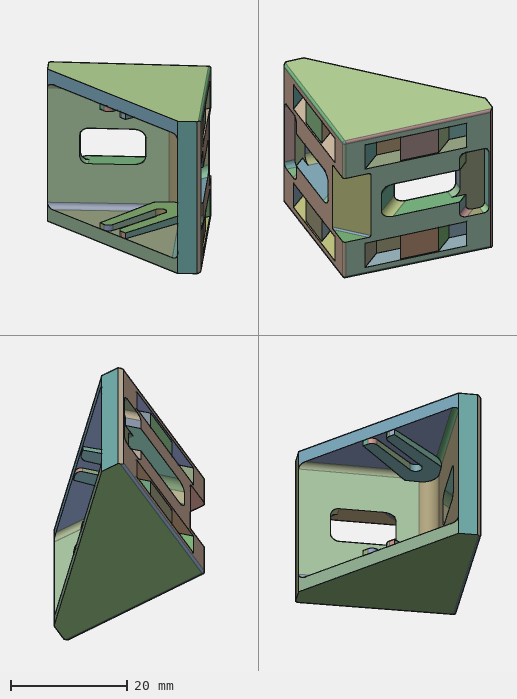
import cadquery as cq
import math


ROOT2 = math.sqrt(2)

LEG_LENGTH = 28.0
LEG_THICKNESS = 4.0
WIDTH = 28.0
END_CHAMFER = 0.7
OUTER_FILLET = 0.45

WALL_THICKNESS = 2.5
WALL_DRAFT = math.tan(math.radians(0.45))
CORNER_FILLET = 3.0
ROOT_FILLET = 1.0

RIB_HEIGHT = 1.05
RIB_FRONT_Y = 0.05
RIB_HALF_WIDTH = 3.3
RIB_DRAFT = math.tan(math.radians(2.0))
RIB_GAP = 2.3
RIB_GAP_DEPTH = 12.0
RIB_TIP_FILLET = 1.1

SLOT_START_X = 5.0
SLOT_END = 22.45
SLOT_HEIGHT = 6.5
SLOT_FILLET = 1.5

RECESS_START_X = 15.25
RECESS_END = 27.0
RECESS_DEPTH = 1.95
RECESS_HEIGHT = 13.0
RECESS_FILLET = 0.95
RELIEF_START = 20.0
RELIEF_END = 26.0

POCKET_SPANS_X = ((2.82, 7.34), (12.37, 16.15))
POCKET_DEPTH = 3.55
POCKET_HEIGHT = 4.9
POCKET_CENTER_Z = 9.95
BRIDGE_DEPTH = 0.3

NOTCH_FLOOR_Y = 19.05
NOTCH_HEIGHT = 12.9
NOTCH_FILLET = 0.3

APEX_Y = (LEG_LENGTH + LEG_THICKNESS) / ROOT2
INNER_APEX_Y = APEX_Y - LEG_THICKNESS * ROOT2
OPEN_HALF_WIDTH = (LEG_LENGTH - LEG_THICKNESS) / ROOT2
OVERCUT = 2.0


def leg_point(along, depth):
    """XY point on the +X leg, measured from the apex and inward from its outer face."""
    return ((along - depth) / ROOT2, APEX_Y - (along + depth) / ROOT2)


def outer_point(x, depth):
    """XY point on the +X leg at a given X, at a depth below its outer face."""
    return (x, APEX_Y - x - depth * ROOT2)


def prism(points, height):
    """Straight prism over an XY outline, centred on Z = 0."""
    return cq.Workplane("XY").polyline(points).close().extrude(height / 2, both=True)


def drafted_slab(half_height, y_from, y_to, draft):
    """Slab wide in X whose half height, given at Y = 0, shrinks towards +Y."""
    start = half_height - draft * y_from
    end = half_height - draft * y_to
    outline = [(y_from, -start), (y_to, -end), (y_to, end), (y_from, start)]
    return cq.Workplane("YZ").polyline(outline).close().extrude(LEG_LENGTH, both=True)


def on_both_legs(shape):
    return shape.union(shape.mirror("YZ"))


def make_body():
    outline = [
        (-OPEN_HALF_WIDTH, 0),
        (OPEN_HALF_WIDTH, 0),
        leg_point(LEG_LENGTH, 0),
        (0, APEX_Y),
        (-leg_point(LEG_LENGTH, 0)[0], leg_point(LEG_LENGTH, 0)[1]),
    ]
    body = prism(outline, WIDTH)
    body = body.intersect(drafted_slab(WIDTH / 2, 0, APEX_Y, WALL_DRAFT))
    body = body.edges("|Z and (<X or >X)").chamfer(END_CHAMFER)
    outer_rims = body.faces(">(1,1,0) or >(-1,1,0)").edges("not |Z")
    return body.edges("|Z and >Y").add(outer_rims).fillet(OUTER_FILLET)


def make_cavity():
    half_base = INNER_APEX_Y + OVERCUT
    outline = [(-half_base, -OVERCUT), (half_base, -OVERCUT), (0, INNER_APEX_Y)]
    cavity = prism(outline, WIDTH)
    half_gap = WIDTH / 2 - WALL_THICKNESS
    cavity = cavity.intersect(drafted_slab(half_gap, -OVERCUT, APEX_Y, WALL_DRAFT))
    cavity = cavity.edges("|Z and >Y").fillet(CORNER_FILLET)
    return cavity.edges("not (|Z or <Y)").fillet(ROOT_FILLET)


def make_ribs():
    back_half_width = RIB_HALF_WIDTH + RIB_DRAFT * INNER_APEX_Y
    outline = [
        (-RIB_HALF_WIDTH, RIB_FRONT_Y),
        (RIB_HALF_WIDTH, RIB_FRONT_Y),
        (back_half_width, INNER_APEX_Y - back_half_width),
        (0, INNER_APEX_Y),
        (-back_half_width, INNER_APEX_Y - back_half_width),
    ]
    half_gap = WIDTH / 2 - WALL_THICKNESS
    ribs = prism(outline, 2 * half_gap + WALL_THICKNESS)
    gap = (
        cq.Workplane("XY")
        .center(0, RIB_GAP_DEPTH / 2)
        .slot2D(RIB_GAP_DEPTH, RIB_GAP, 90)
        .extrude(WIDTH / 2, both=True)
    )
    mouth = cq.Workplane("XY").rect(RIB_GAP, RIB_GAP_DEPTH).extrude(WIDTH / 2, both=True)
    ribs = ribs.cut(gap).cut(mouth)
    inner_tips = cq.selectors.BoxSelector(
        (-RIB_GAP, -RIB_GAP, -WIDTH), (RIB_GAP, RIB_GAP, WIDTH)
    )
    ribs = ribs.edges("|Z").edges(inner_tips).fillet(RIB_TIP_FILLET)
    return ribs.cut(drafted_slab(half_gap - RIB_HEIGHT, -OVERCUT, APEX_Y, RIB_DRAFT))


def make_slot():
    outline = [
        outer_point(SLOT_START_X, -OVERCUT),
        outer_point(SLOT_START_X, LEG_THICKNESS + OVERCUT),
        leg_point(SLOT_END, LEG_THICKNESS + OVERCUT),
        leg_point(SLOT_END, -OVERCUT),
    ]
    slot = prism(outline, SLOT_HEIGHT)
    return slot.edges("|Y or |(1,1,0)").fillet(SLOT_FILLET)


def make_relief():
    """Opens the slot into the recess, down to the recess floor."""
    outline = [
        leg_point(RELIEF_START, -OVERCUT),
        leg_point(RELIEF_START, RECESS_DEPTH),
        leg_point(RELIEF_END, RECESS_DEPTH),
        leg_point(RELIEF_END, -OVERCUT),
    ]
    return prism(outline, SLOT_HEIGHT)


def make_recess():
    outline = [
        outer_point(RECESS_START_X, -OVERCUT),
        outer_point(RECESS_START_X, RECESS_DEPTH),
        leg_point(RECESS_END, RECESS_DEPTH),
        leg_point(RECESS_END, -OVERCUT),
    ]
    recess = prism(outline, RECESS_HEIGHT)
    return recess.edges("|Y or |(1,1,0)").fillet(RECESS_FILLET)


def make_pocket(start_x, end_x, depth):
    outline = [
        outer_point(start_x, -OVERCUT),
        outer_point(start_x, depth),
        outer_point(end_x, depth),
        outer_point(end_x, -OVERCUT),
    ]
    return prism(outline, POCKET_HEIGHT)


def make_pocket_pair():
    """Two pockets joined by a shallow cut over the bridge between them."""
    pair = make_pocket(POCKET_SPANS_X[0][0], POCKET_SPANS_X[1][1], BRIDGE_DEPTH)
    for start_x, end_x in POCKET_SPANS_X:
        pair = pair.union(make_pocket(start_x, end_x, POCKET_DEPTH))
    return pair


def make_notch():
    notch = cq.Workplane("XY").box(LEG_LENGTH, LEG_LENGTH, NOTCH_HEIGHT)
    notch = notch.edges("|X and <Y").fillet(NOTCH_FILLET)
    return notch.translate((0, NOTCH_FLOOR_Y + LEG_LENGTH / 2, 0))


result = make_body().cut(make_cavity()).union(make_ribs())
for leg_cut in (make_slot(), make_recess(), make_relief()):
    result = result.cut(on_both_legs(leg_cut))
for side in (-1, 1):
    pockets = make_pocket_pair().translate((0, 0, side * POCKET_CENTER_Z))
    result = result.cut(on_both_legs(pockets))
result = result.cut(make_notch())